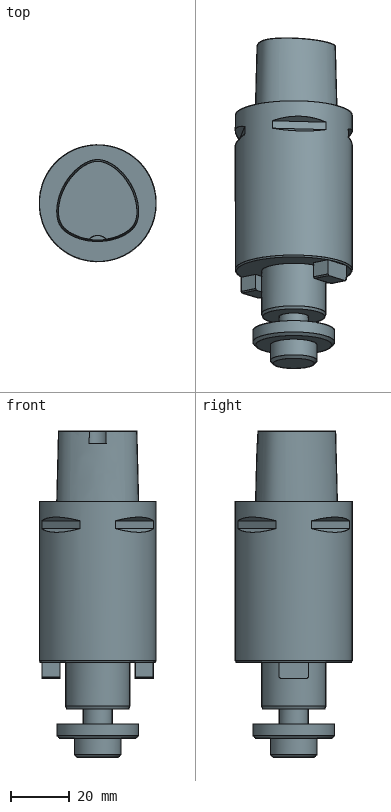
import cadquery as cq
import math

SHANK_LENGTH = 24.0
SHANK_WIDTH = 28.0
SHANK_TAPER = 1 / 20
LOBE_ECCENTRICITY = 0.93
LOBE_COUNT = 3
FIRST_LOBE_ANGLE = 90.0
POINTS_PER_FACE = 9

NOTCH_DEPTH = 4.3
NOTCH_RADIUS = 3.8
NOTCH_FLOOR_Y = -11.0

BODY_DIAMETER = 40.0
BODY_LENGTH = 55.0
BODY_CHAMFER_WIDTH = 0.35
BODY_CHAMFER_HEIGHT = 0.6

GROOVE_COUNT = 4
GROOVE_FIRST_ANGLE = 45.0
GROOVE_CENTER_DEPTH = 8.0
GROOVE_FLOOR_HEIGHT = 2.6
GROOVE_FLOOR_DISTANCE = 17.75
GROOVE_FLANK_ANGLE = 30.0
CUT_CLEARANCE = 1.0

KEY_HEIGHT = 5.5
KEY_WIDTH = 10.0
KEY_INNER_X = 12.8
KEY_OUTER_X = 19.05
KEY_CHAMFER = 0.5

PILOT_DIAMETER = 22.0
PILOT_LENGTH = 16.0
PILOT_CHAMFER_WIDTH = 0.4
PILOT_CHAMFER_HEIGHT = 1.0
NECK_DIAMETER = 10.0
NECK_LENGTH = 5.0
FLANGE_DIAMETER = 28.0
FLANGE_LENGTH = 5.0
FLANGE_CHAMFER = 1.0
TOTAL_LENGTH = 111.5
HEAD_DIAMETER = 16.0
HEAD_CHAMFER = 1.0

BODY_BOTTOM = -BODY_LENGTH
PILOT_BOTTOM = BODY_BOTTOM - PILOT_LENGTH
FLANGE_TOP = PILOT_BOTTOM - NECK_LENGTH
FLANGE_BOTTOM = FLANGE_TOP - FLANGE_LENGTH
HEAD_BOTTOM = SHANK_LENGTH - TOTAL_LENGTH


def polygon_point(width, normal_angle, z):
    """Point of the lobed outline whose outward normal has the given angle (radians)."""
    lobe_phase = LOBE_COUNT * (normal_angle - math.radians(FIRST_LOBE_ANGLE))
    reach = width / 2 + LOBE_ECCENTRICITY * math.cos(lobe_phase)
    slide = -LOBE_COUNT * LOBE_ECCENTRICITY * math.sin(lobe_phase)
    cosine = math.cos(normal_angle)
    sine = math.sin(normal_angle)
    return cq.Vector(reach * cosine - slide * sine, reach * sine + slide * cosine, z)


def polygon_wire(width, z):
    """Closed outline made of alternating lobe and flank curves, tangent to each other."""
    face_count = 2 * LOBE_COUNT
    face_angle = 2 * math.pi / face_count
    first_angle = math.radians(FIRST_LOBE_ANGLE) - face_angle / 2
    edges = []
    for face in range(face_count):
        start = first_angle + face * face_angle
        angles = [start + face_angle * i / (POINTS_PER_FACE - 1) for i in range(POINTS_PER_FACE)]
        points = [polygon_point(width, angle, z) for angle in angles]
        tangents = [cq.Vector(-math.sin(angle), math.cos(angle), 0) for angle in (angles[0], angles[-1])]
        edges.append(cq.Edge.makeSpline(points, tangents=tangents))
    return cq.Wire.assembleEdges(edges)


def make_shank():
    top_width = SHANK_WIDTH - SHANK_TAPER * SHANK_LENGTH
    base = polygon_wire(SHANK_WIDTH, 0)
    top = polygon_wire(top_width, SHANK_LENGTH)
    shank = cq.Workplane(obj=cq.Solid.makeLoft([base, top], True))
    notch = (
        cq.Workplane("XY", origin=(0, NOTCH_FLOOR_Y - NOTCH_RADIUS, SHANK_LENGTH - NOTCH_DEPTH))
        .circle(NOTCH_RADIUS)
        .extrude(NOTCH_DEPTH)
    )
    return shank.cut(notch)


def make_turned_body():
    """Body, pilot, neck, flange and screw head as one revolved profile."""
    body_radius = BODY_DIAMETER / 2
    pilot_radius = PILOT_DIAMETER / 2
    neck_radius = NECK_DIAMETER / 2
    flange_radius = FLANGE_DIAMETER / 2
    head_radius = HEAD_DIAMETER / 2
    profile = [
        (0, 0),
        (body_radius, 0),
        (body_radius, BODY_BOTTOM + BODY_CHAMFER_HEIGHT),
        (body_radius - BODY_CHAMFER_WIDTH, BODY_BOTTOM),
        (pilot_radius, BODY_BOTTOM),
        (pilot_radius, PILOT_BOTTOM + PILOT_CHAMFER_HEIGHT),
        (pilot_radius - PILOT_CHAMFER_WIDTH, PILOT_BOTTOM),
        (neck_radius, PILOT_BOTTOM),
        (neck_radius, FLANGE_TOP),
        (flange_radius, FLANGE_TOP),
        (flange_radius, FLANGE_BOTTOM + FLANGE_CHAMFER),
        (flange_radius - FLANGE_CHAMFER, FLANGE_BOTTOM),
        (head_radius, FLANGE_BOTTOM),
        (head_radius, HEAD_BOTTOM + HEAD_CHAMFER),
        (head_radius - HEAD_CHAMFER, HEAD_BOTTOM),
        (0, HEAD_BOTTOM),
    ]
    return cq.Workplane("XZ").polyline(profile).close().revolve(360, (0, 0, 0), (0, 1, 0))


def make_groove(angle):
    """Straight groove cutter with a flat floor and flaring flanks, facing the given direction."""
    outer_distance = BODY_DIAMETER / 2 + CUT_CLEARANCE
    flare = (outer_distance - GROOVE_FLOOR_DISTANCE) * math.tan(math.radians(GROOVE_FLANK_ANGLE))
    floor_half = GROOVE_FLOOR_HEIGHT / 2
    section = [
        (GROOVE_FLOOR_DISTANCE, -floor_half),
        (outer_distance, -floor_half - flare),
        (outer_distance, floor_half + flare),
        (GROOVE_FLOOR_DISTANCE, floor_half),
    ]
    return (
        cq.Workplane("XZ", origin=(0, 0, -GROOVE_CENTER_DEPTH))
        .polyline(section)
        .close()
        .extrude(BODY_DIAMETER / 2, both=True)
        .rotate((0, 0, 0), (0, 0, 1), angle)
    )


def make_key(side):
    """Drive key on the +X (side = 1) or -X (side = -1) edge of the body's lower face."""
    center_x = side * (KEY_INNER_X + KEY_OUTER_X) / 2
    return (
        cq.Workplane("XY", origin=(center_x, 0, BODY_BOTTOM))
        .rect(KEY_OUTER_X - KEY_INNER_X, KEY_WIDTH)
        .extrude(-KEY_HEIGHT)
        .edges("<Z and |X")
        .chamfer(KEY_CHAMFER)
    )


result = make_turned_body().union(make_shank())
for index in range(GROOVE_COUNT):
    result = result.cut(make_groove(GROOVE_FIRST_ANGLE + index * 360 / GROOVE_COUNT))
for side in (-1, 1):
    result = result.union(make_key(side))